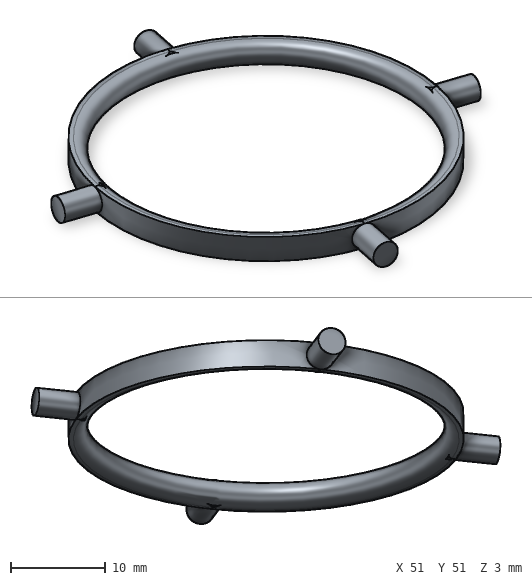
import cadquery as cq

span = 51.0
thickness = 3.0
ring_diameter = 42.0
round_center_radius = 20.5
pin_inner_radius = 20.05
pin_count = 4

half_thickness = thickness / 2
ring_radius = ring_diameter / 2
ring_inner_radius = round_center_radius - half_thickness
pin_length = span / 2 - pin_inner_radius


def make_pin(angle):
    """Radial round pin, its inner end seated inside the ring."""
    return (
        cq.Workplane("YZ", origin=(pin_inner_radius, 0, 0))
        .circle(half_thickness)
        .extrude(pin_length)
        .rotate((0, 0, 0), (0, 0, 1), angle)
    )


def make_ring(pins):
    """D-section ring, rounded on the inside, with a seat for every pin."""
    ring = (
        cq.Workplane("XZ")
        .moveTo(ring_radius, -half_thickness)
        .lineTo(ring_radius, half_thickness)
        .lineTo(round_center_radius, half_thickness)
        .threePointArc((ring_inner_radius, 0), (round_center_radius, -half_thickness))
        .close()
        .revolve(360, (0, 0, 0), (0, 1, 0))
    )
    return ring.val().cut(*[pin.val() for pin in pins])


pins = [make_pin(360 / pin_count * index) for index in range(pin_count)]
ring = make_ring(pins)

result = cq.Compound.makeCompound([*ring.Solids(), *[pin.val() for pin in pins]])